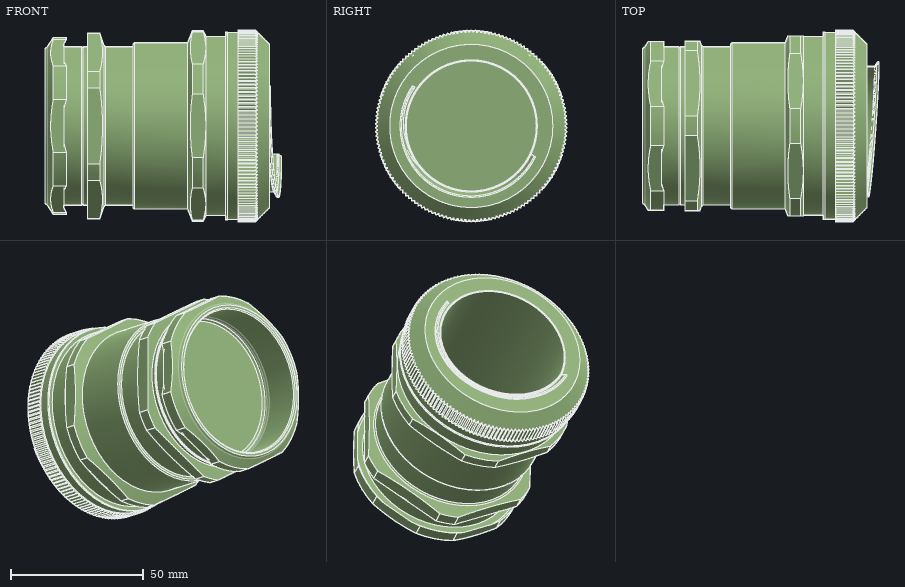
import cadquery as cq
import math


ENTRY_FACE_RADIUS = 29.3
TUBE_RADIUS = 60.0 / 2
ENTRY_CHAMFER = 0.9
GROOVE_START = 13.9
GROOVE_WIDTH = 0.5
GROOVE_DEPTH = 0.4

BARREL_START = 33.3
BARREL_RADIUS = 31.5
BARREL_CHAMFER = 0.5

CAP_FLATS = 63.9
CAP_CORNER_RADIUS = 33.5
CAP_RIM_START = 3.1
CAP_RIM_END = 8.1
CAP_RECESS_RADIUS = 32.6
CAP_RECESS_DEPTH = 1.0

LOCKNUT_FLATS = 64.2
LOCKNUT_CORNER_RADIUS = 35.2
LOCKNUT_START = 16.0
LOCKNUT_RIM_END = 20.8
LOCKNUT_END = 22.3
LOCKNUT_FOOT_RADIUS = 61.2 / 2

BODY_HEX_FLATS = 68.2
BODY_HEX_CORNER_RADIUS = 36.15
BODY_HEX_START = 53.95
BODY_HEX_RIM_START = 55.7
BODY_HEX_RIM_END = 59.9
BODY_HEX_END = 60.9

NECK_RADIUS = 67.8 / 2
COLLAR_START = 68.35
COLLAR_RADIUS = 35.4
COLLAR_BAND_RADIUS = 71.0 / 2
COLLAR_BAND_WIDTH = 0.7
KNURL_START = 73.1
KNURL_TIP_RADIUS = 72.6 / 2
KNURL_ROOT_RADIUS = COLLAR_BAND_RADIUS
KNURL_TEETH = 150
END_FACE = 85.0
END_FACE_RADIUS = 30.9

ENTRY_BORE_RADIUS = 55.6 / 2
ENTRY_BORE_CHAMFER = 0.45
ENTRY_BORE_DEPTH = 14.1
LEDGE_RADIUS = 27.5
LEDGE_START = 15.2
LEDGE_END = 16.2
DISC_FACE = 17.0
DISC_RADIUS = 26.7
DISC_THICKNESS = 0.9

SLEEVE_RADIUS = 50.0 / 2
SLEEVE_BORE_RADIUS = 49.2 / 2
OVERALL_LENGTH = 89.5
TOOL_SIZE = 2 * OVERALL_LENGTH
TAB_CUT_TILT = 30.0
TAB_CUT_HEIGHT = 2.3
TAB_TILT_Y = 2.0
TAB_TILT_Z = 4.0
TAB_RIM_CENTRE = 87.4
TAB_RIM_RADIUS = 27.0
TAB_FLARE_LENGTH = 1.6
TAB_RIM_THICKNESS = 0.5


def revolve_profile(points):
    """Solid of revolution about X from (x, radius) points."""
    return cq.Workplane("XY").polyline(points).close().revolve(360, (0, 0, 0), (1, 0, 0))


def cylinder(start, end, radius):
    return cq.Workplane("YZ").workplane(offset=start).circle(radius).extrude(end - start)


def hexagon(flats, points):
    """Revolved blank trimmed to a hexagon with corners on +Z and -Z."""
    start = min(x for x, _ in points)
    end = max(x for x, _ in points)
    prism = (
        cq.Workplane("YZ")
        .workplane(offset=start)
        .transformed(rotate=(0, 0, 90))
        .polygon(6, flats / math.cos(math.pi / 6))
        .extrude(end - start)
    )
    return revolve_profile(points).intersect(prism)


def make_core():
    """Round outer shape from the entry face to the collar."""
    groove_end = GROOVE_START + GROOVE_WIDTH
    band_end = COLLAR_START + COLLAR_BAND_WIDTH
    return revolve_profile([
        (0, 0),
        (0, ENTRY_FACE_RADIUS),
        (ENTRY_CHAMFER, TUBE_RADIUS),
        (GROOVE_START, TUBE_RADIUS),
        (GROOVE_START, TUBE_RADIUS - GROOVE_DEPTH),
        (groove_end, TUBE_RADIUS - GROOVE_DEPTH),
        (groove_end, TUBE_RADIUS),
        (BARREL_START, TUBE_RADIUS),
        (BARREL_START, BARREL_RADIUS - BARREL_CHAMFER),
        (BARREL_START + BARREL_CHAMFER, BARREL_RADIUS),
        (BODY_HEX_START, BARREL_RADIUS),
        (BODY_HEX_END, NECK_RADIUS),
        (COLLAR_START, NECK_RADIUS),
        (COLLAR_START, COLLAR_BAND_RADIUS),
        (band_end, COLLAR_BAND_RADIUS),
        (band_end, COLLAR_RADIUS),
        (KNURL_START, COLLAR_RADIUS),
        (KNURL_START, 0),
    ])


def make_cap_hexagon():
    """Entry hexagon with a conical front and a dished back."""
    recess = CAP_RIM_END - CAP_RECESS_DEPTH
    return hexagon(CAP_FLATS, [
        (ENTRY_CHAMFER, 0),
        (ENTRY_CHAMFER, TUBE_RADIUS),
        (CAP_RIM_START, CAP_CORNER_RADIUS),
        (CAP_RIM_END, CAP_CORNER_RADIUS),
        (recess, CAP_RECESS_RADIUS),
        (recess, 0),
    ])


def make_locknut_hexagon():
    """Hexagon with one flat side and one conical side ending in a small foot."""
    foot_end = LOCKNUT_END + LOCKNUT_FOOT_RADIUS - TUBE_RADIUS
    return hexagon(LOCKNUT_FLATS, [
        (LOCKNUT_START, 0),
        (LOCKNUT_START, LOCKNUT_CORNER_RADIUS),
        (LOCKNUT_RIM_END, LOCKNUT_CORNER_RADIUS),
        (LOCKNUT_END, LOCKNUT_FOOT_RADIUS),
        (foot_end, TUBE_RADIUS),
        (foot_end, 0),
    ])


def make_body_hexagon():
    """Hexagon between barrel and neck, conical on both sides."""
    return hexagon(BODY_HEX_FLATS, [
        (BODY_HEX_START, 0),
        (BODY_HEX_START, BARREL_RADIUS),
        (BODY_HEX_RIM_START, BODY_HEX_CORNER_RADIUS),
        (BODY_HEX_RIM_END, BODY_HEX_CORNER_RADIUS),
        (BODY_HEX_END, NECK_RADIUS),
        (BODY_HEX_END, 0),
    ])


def make_knurled_ring():
    """Ring of V-shaped teeth, turned down to a 45 degree cone at the end face."""
    outline = []
    for i in range(2 * KNURL_TEETH):
        angle = math.pi / 2 + i * math.pi / KNURL_TEETH
        radius = KNURL_TIP_RADIUS if i % 2 == 0 else KNURL_ROOT_RADIUS
        outline.append((radius * math.cos(angle), radius * math.sin(angle)))
    teeth = (
        cq.Workplane("YZ")
        .workplane(offset=KNURL_START)
        .polyline(outline)
        .close()
        .extrude(END_FACE - KNURL_START)
    )
    cone_length = KNURL_TIP_RADIUS - END_FACE_RADIUS
    blank = revolve_profile([
        (KNURL_START, 0),
        (KNURL_START, KNURL_TIP_RADIUS),
        (END_FACE - cone_length, KNURL_TIP_RADIUS),
        (END_FACE, END_FACE_RADIUS),
        (END_FACE, 0),
    ])
    return teeth.intersect(blank)


def make_bore():
    """Stepped bore: entry, seat for the insert's disc, and passage for its sleeve."""
    seat_end = DISC_FACE + DISC_THICKNESS
    return revolve_profile([
        (0, 0),
        (0, ENTRY_BORE_RADIUS + ENTRY_BORE_CHAMFER),
        (ENTRY_BORE_CHAMFER, ENTRY_BORE_RADIUS),
        (ENTRY_BORE_DEPTH, ENTRY_BORE_RADIUS),
        (LEDGE_START, LEDGE_RADIUS),
        (LEDGE_END, LEDGE_RADIUS),
        (DISC_FACE, DISC_RADIUS),
        (seat_end, DISC_RADIUS),
        (seat_end, SLEEVE_RADIUS),
        (END_FACE, SLEEVE_RADIUS),
        (END_FACE, 0),
    ])


def make_housing():
    return (
        make_core()
        .union(make_cap_hexagon())
        .union(make_locknut_hexagon())
        .union(make_body_hexagon())
        .union(make_knurled_ring())
        .cut(make_bore())
    )


def tilt_tab(shape, centre):
    """Turn a shape built about the origin into the tab's slanted plane and move it to x = centre."""
    return (
        shape
        .rotate((0, 0, 0), (0, 1, 0), -TAB_TILT_Y)
        .rotate((0, 0, 0), (0, 0, 1), -TAB_TILT_Z)
        .translate((centre, 0, 0))
    )


def keep_tab_side(shape):
    """Keep what lies below a slanting plane parallel to X, higher on the -Y side."""
    block = (
        cq.Workplane("XY")
        .box(TOOL_SIZE, TOOL_SIZE, TOOL_SIZE)
        .translate((0, 0, -TOOL_SIZE / 2))
        .rotate((0, 0, 0), (1, 0, 0), -TAB_CUT_TILT)
        .translate((0, 0, TAB_CUT_HEIGHT))
    )
    return shape.intersect(block)


def sleeve_tube(start, end):
    return cylinder(start, end, SLEEVE_RADIUS).cut(cylinder(start, end, SLEEVE_BORE_RADIUS))


def make_disc_and_sleeve():
    """Closed disc with a thin sleeve that ends flush with the housing's end face."""
    seat_end = DISC_FACE + DISC_THICKNESS
    return cylinder(DISC_FACE, seat_end, DISC_RADIUS).union(sleeve_tube(seat_end, END_FACE))


def make_tab_wall():
    """Part of the sleeve that stands out of the housing, up to the middle of the flare."""
    beyond = cq.Workplane("XY").box(TOOL_SIZE, TOOL_SIZE, TOOL_SIZE).translate((TOOL_SIZE / 2, 0, 0))
    flare_middle = TAB_RIM_CENTRE - TAB_FLARE_LENGTH / 2
    wall = sleeve_tube(END_FACE, OVERALL_LENGTH).cut(tilt_tab(beyond, flare_middle))
    return keep_tab_side(wall)


def make_tab_rim():
    """Flared lip on the tab wall."""
    rim = revolve_profile([
        (-TAB_FLARE_LENGTH, SLEEVE_BORE_RADIUS),
        (0, TAB_RIM_RADIUS - TAB_RIM_THICKNESS),
        (0, TAB_RIM_RADIUS),
        (-TAB_RIM_THICKNESS, TAB_RIM_RADIUS),
        (-TAB_FLARE_LENGTH, SLEEVE_RADIUS),
    ])
    outside_housing = cylinder(END_FACE, OVERALL_LENGTH, OVERALL_LENGTH)
    return keep_tab_side(tilt_tab(rim, TAB_RIM_CENTRE)).intersect(outside_housing)


def make_insert():
    return make_disc_and_sleeve().union(make_tab_wall()).union(make_tab_rim())


housing = make_housing()
insert = make_insert()

result = cq.Compound.makeCompound([housing.solids().val(), insert.solids().val()])